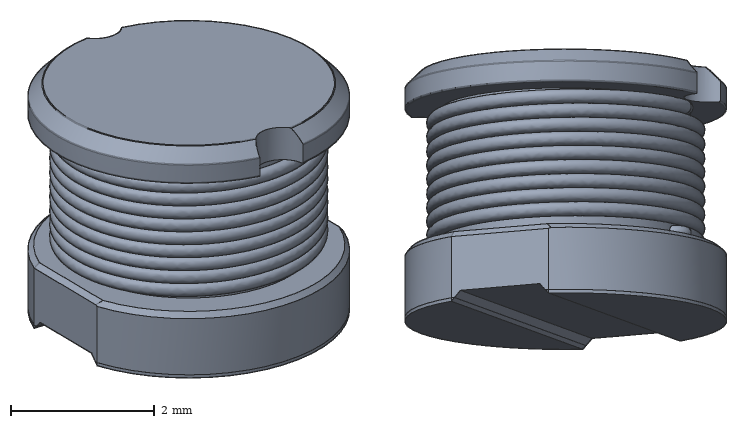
import cadquery as cq
import math

core_radius = 2.25
core_height = 3.5
base_height = 1.0
base_flat_y = 2.12
base_chamfer_width = 0.068
base_chamfer_height = 0.08
post_radius = 1.745
flange_height = 0.5
flange_chamfer = 0.202
flange_edge_round = 0.022
notch_radius = 0.375

channel_top_width = 1.225
channel_height = 0.145
channel_bottom_width = 2 * math.sqrt(core_radius**2 - base_flat_y**2)

pad_thickness = 0.05

wire_diameter = 0.2
turns = 9
winding_clearance = 0.0022
lead_bend_radius = 0.15

wire_radius = wire_diameter / 2
flange_bottom = core_height - flange_height
coil_radius = post_radius + winding_clearance + wire_radius
coil_bottom = base_height + winding_clearance + wire_radius
coil_top = flange_bottom - winding_clearance - wire_radius
coil_height = coil_top - coil_bottom


def flat_sided_disc(height):
    """Round disc with two flats parallel to the X axis."""
    disc = cq.Workplane("XY").circle(core_radius).extrude(height)
    flats = cq.Workplane("XY").rect(2 * core_radius, 2 * base_flat_y).extrude(height)
    return disc.intersect(flats)


def make_channel():
    """Flared channel that separates the two pads."""
    return (
        cq.Workplane("XZ")
        .moveTo(-channel_bottom_width / 2, 0)
        .lineTo(channel_bottom_width / 2, 0)
        .lineTo(channel_top_width / 2, channel_height)
        .lineTo(-channel_top_width / 2, channel_height)
        .close()
        .extrude(core_radius, both=True)
    )


def make_base():
    """Channelled base with a chamfered top edge, resting on the pads."""
    base = flat_sided_disc(base_height).faces(">Z").chamfer(base_chamfer_height, base_chamfer_width)
    pad_layer = cq.Workplane("XY").circle(core_radius).extrude(pad_thickness)
    return base.cut(make_channel()).cut(pad_layer)


def make_flange():
    """Top flange with a chamfered rim, softened edges and two wire notches."""
    flange = (
        cq.Workplane("XY", origin=(0, 0, flange_bottom))
        .circle(core_radius)
        .extrude(flange_height)
        .faces(">Z").chamfer(flange_chamfer)
        .edges("%CIRCLE").fillet(flange_edge_round)
    )
    notches = (
        cq.Workplane("XY", origin=(0, 0, flange_bottom))
        .pushPoints([(-core_radius, 0), (core_radius, 0)])
        .circle(notch_radius)
        .extrude(flange_height)
    )
    return flange.cut(notches)


def make_core(leads):
    """Drum core with a matching pocket in the post for each wire lead."""
    post = (
        cq.Workplane("XY", origin=(0, 0, base_height))
        .circle(post_radius)
        .extrude(flange_bottom - base_height)
    )
    core = make_base().union(post).union(make_flange())
    for lead in leads:
        core = core.cut(lead)
    return core


def make_pad(side):
    """Contact pad under the base; side is -1 for -X and +1 for +X."""
    half = (
        cq.Workplane("XY")
        .center(side * core_radius / 2, 0)
        .rect(core_radius, 2 * core_radius)
        .extrude(pad_thickness)
    )
    return flat_sided_disc(pad_thickness).intersect(half).cut(make_channel())


def make_coil():
    """Single-layer right-handed winding that starts and ends on the -X side."""
    path = cq.Wire.makeHelix(coil_height / turns, coil_height, coil_radius)
    coil = (
        cq.Workplane("XZ")
        .center(coil_radius, 0)
        .circle(wire_radius)
        .sweep(cq.Workplane(obj=path), isFrenet=True)
    )
    return coil.rotate((0, 0, 0), (0, 0, 1), 180).translate((0, 0, coil_bottom))


def make_lead(height, side):
    """Wire end that bends a quarter turn into the post, towards +Y or -Y (side +1 or -1)."""
    return (
        cq.Workplane("XZ", origin=(-coil_radius, 0, height))
        .circle(wire_radius)
        .revolve(90, (lead_bend_radius, 0), (lead_bend_radius, -side))
    )


leads = [make_lead(coil_bottom, 1), make_lead(coil_top, -1)]
core = make_core(leads)
coil = make_coil()
pads = [make_pad(side) for side in (-1, 1)]

result = cq.Compound.makeCompound(
    [core.val(), coil.val(), *[lead.val() for lead in leads], *[pad.val() for pad in pads]]
)